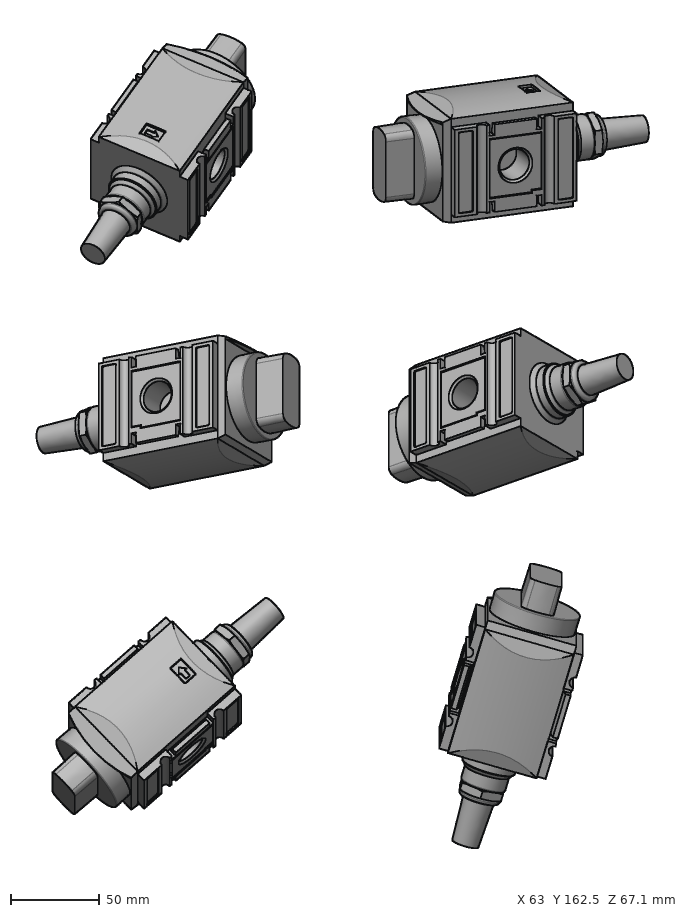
import cadquery as cq
import math

block_width = 52.4
block_half_height = 31.1
dome_half_height = 33.56
housing_length = 75.0
end_slope = math.radians(16)

overall_width = 63.0
pad_height = 52.3

half_width = block_width / 2
housing_end = housing_length / 2
pad_face = overall_width / 2
pad_top = pad_height / 2

groove_radius = 3.0
groove_offset = 20.8
panel_half_length = 13.0
notch_width = 3.0
notch_floor = 19.8
notch_outer = panel_half_length + notch_width
panel_thickness = 3.0
slot_floor_width = 0.85
label_depth = 1.0
label_height = 48.4
label_radius = 1.0
label_inner = 26.2
label_outer_rear = 35.0
label_outer_front = 35.45

port_radius = 9.1
port_mouth_radius = 10.5
port_depth = 20.0
seat_half_length = 15.9
seat_half_height = 17.85
seat_key_offset = 10.2
seat_key_height = 1.5
seat_step = 0.5
seat_step_depth = 0.25
seat_steps = 2
seat_depth = seat_steps * seat_step_depth

window_length = 12.4
window_width = 8.3
window_x = -0.2
window_y = -21.4
window_floor = 31.9
arrow_depth = 0.8
arrow_tail = -4.4
arrow_neck = 0.0
arrow_tip = 3.4
arrow_shaft_half_width = 1.5
arrow_head_half_width = 2.9

flare_base_radius = 18.1
flare_tip_radius = 16.0
flare_end = 2.4
collar_radius = 15.6
collar_start = 2.9
collar_end = 8.3
collar_bevel = 0.5
shoulder_base_radius = 14.9
shoulder_tip_radius = 13.5
shoulder_end = 10.2
neck_radius = 13.1
neck_start = 10.7
neck_end = 19.2
neck_bevel_length = 1.1
neck_bevel_height = 0.3
hex_across_flats = 24.2
hex_end = 24.4
hex_bevel = 0.5
ring_end = 27.6
ring_fillet = 2.2
spigot_base_radius = 9.1
spigot_tip_radius = 7.8
stem_length = 54.5

cap_thickness = 5.0
brim_reach = 4.4
brim_underside = 28.1
drum_base_radius = 25.15
drum_length = 10.7
drum_fillet = 0.5
handle_end = 70.5
handle_radius = 21.75
handle_width = 19.4
handle_corner = 4.3
draft = 1.0

cap_face = housing_end + cap_thickness
drum_end = cap_face + drum_length


def box(x_range, y_range, z_range):
    """Box given by its lower and upper limits on each axis."""
    limits = (x_range, y_range, z_range)
    sizes = [high - low for low, high in limits]
    corner = cq.Vector(*[low for low, high in limits])
    return cq.Workplane(cq.Solid.makeBox(*sizes, pnt=corner))


def rear_plane(y):
    """Plane facing +Y at the given position, with local Y along Z."""
    return cq.Workplane(cq.Plane(origin=(0, y, 0), xDir=(-1, 0, 0), normal=(0, 1, 0)))


def side_plane(x):
    """Plane facing -X at the given position: local X is -Y and local Y is Z."""
    return cq.Workplane(cq.Plane(origin=(x, 0, 0), xDir=(0, -1, 0), normal=(-1, 0, 0)))


def slope_height(y):
    """Height of the sloping end faces at a distance y from the middle."""
    return block_half_height - (y - housing_end) * math.tan(end_slope)


def make_domed_block():
    """Block with cylindrical top and bottom, cut by sloping planes at both ends."""
    domed = (
        rear_plane(-housing_end)
        .moveTo(-half_width, -block_half_height)
        .threePointArc((0, -dome_half_height), (half_width, -block_half_height))
        .lineTo(half_width, block_half_height)
        .threePointArc((0, dome_half_height), (-half_width, block_half_height))
        .close()
        .extrude(housing_length)
    )
    ridge = slope_height(0)
    envelope = (
        cq.Workplane("YZ")
        .polyline([
            (-housing_end, -block_half_height),
            (0, -ridge),
            (housing_end, -block_half_height),
            (housing_end, block_half_height),
            (0, ridge),
            (-housing_end, block_half_height),
        ])
        .close()
        .extrude(half_width, both=True)
    )
    return domed.intersect(envelope)


def seat_outline(inset):
    """Port seat outline with a key step at its lower front corner."""
    top = seat_half_height - inset
    bottom = -seat_half_height + inset
    return [
        (-seat_half_length, top),
        (seat_half_length, top),
        (seat_half_length, bottom + seat_key_height),
        (seat_key_offset - inset, bottom + seat_key_height),
        (seat_key_offset - inset, bottom),
        (-seat_half_length, bottom),
    ]


def panel_slot():
    """Upper slot between the block and the panel, whose back leans outwards."""
    return (
        cq.Workplane("XZ")
        .polyline([
            (-half_width, pad_top),
            (-half_width, notch_floor),
            (-half_width - slot_floor_width, notch_floor),
            (-pad_face + panel_thickness, pad_top),
        ])
        .close()
        .extrude(panel_half_length, both=True)
    )


def label_recess(y_low, y_high):
    """Shallow rounded recess for a label in the pad face."""
    return (
        side_plane(-pad_face)
        .center(-(y_low + y_high) / 2, 0)
        .rect(y_high - y_low, label_height)
        .extrude(-label_depth)
        .edges("|X")
        .fillet(label_radius)
    )


def make_pad():
    """Mounting pad on the -X side."""
    pad = box((-pad_face, -half_width), (-housing_end, housing_end), (-pad_top, pad_top))
    for side in (-1, 1):
        groove = (
            cq.Workplane("XY", origin=(0, 0, -pad_top))
            .center(-pad_face, side * groove_offset)
            .circle(groove_radius)
            .extrude(pad_height)
        )
        notch_y = sorted((side * panel_half_length, side * notch_outer))
        notch = box((-pad_face, -half_width), notch_y, (notch_floor, pad_top))
        pad = pad.cut(groove).cut(notch).cut(notch.mirror("XY"))
    slot = panel_slot()
    pad = pad.cut(slot).cut(slot.mirror("XY"))
    pad = pad.cut(label_recess(label_inner, label_outer_rear))
    pad = pad.cut(label_recess(-label_outer_front, -label_inner))
    for step in range(seat_steps):
        outline = seat_outline(step * seat_step)
        depth = (step + 1) * seat_step_depth
        pad = pad.cut(side_plane(-pad_face).polyline(outline).close().extrude(-depth))
    return pad


def make_port():
    """Blind port with a chamfered mouth, as a cutting tool on the -X side."""
    mouth_x = -pad_face + seat_depth
    mouth_depth = port_mouth_radius - port_radius
    return (
        cq.Workplane("XZ")
        .polyline([
            (mouth_x, 0),
            (mouth_x, port_mouth_radius),
            (mouth_x + mouth_depth, port_radius),
            (mouth_x + port_depth, port_radius),
            (mouth_x + port_depth, 0),
        ])
        .close()
        .revolve(360, (0, 0, 0), (1, 0, 0))
    )


def make_arrow_window():
    """Flat-bottomed window in the top face with an arrow sunk into its floor."""
    window = (
        cq.Workplane("XY", origin=(window_x, window_y, window_floor))
        .rect(window_length, window_width)
        .extrude(dome_half_height - window_floor)
    )
    arrow = (
        cq.Workplane("XY", origin=(0, window_y, window_floor))
        .polyline([
            (arrow_tail, -arrow_shaft_half_width),
            (arrow_neck, -arrow_shaft_half_width),
            (arrow_neck, -arrow_head_half_width),
            (arrow_tip, 0),
            (arrow_neck, arrow_head_half_width),
            (arrow_neck, arrow_shaft_half_width),
            (arrow_tail, arrow_shaft_half_width),
        ])
        .close()
        .extrude(-arrow_depth)
    )
    return window.union(arrow)


def make_hex():
    """Hexagon with corners up and down, its corners bevelled at both ends."""
    corner_radius = hex_across_flats / math.sqrt(3)
    rear = -housing_end - neck_end
    front = -housing_end - hex_end
    blank = (
        cq.Workplane("XZ", origin=(0, rear, 0))
        .polygon(6, 2 * corner_radius)
        .extrude(rear - front)
        .rotate((0, 0, 0), (0, 1, 0), 90)
    )
    bevelled_round = (
        cq.Workplane("XY")
        .polyline([
            (0, rear),
            (hex_across_flats / 2, rear),
            (corner_radius, rear - hex_bevel),
            (corner_radius, front + hex_bevel),
            (hex_across_flats / 2, front),
            (0, front),
        ])
        .close()
        .revolve(360, (0, 0, 0), (0, 1, 0))
    )
    return blank.intersect(bevelled_round)


def make_stem():
    """Stepped round stem with a hexagon and a tapered spigot."""
    ring_radius = hex_across_flats / 2
    fillet_mid = ring_fillet * (1 - math.sqrt(0.5))
    front = -housing_end
    turned = (
        cq.Workplane("XY")
        .moveTo(0, front)
        .lineTo(flare_base_radius, front)
        .lineTo(flare_tip_radius, front - flare_end)
        .lineTo(collar_radius, front - collar_start)
        .lineTo(collar_radius, front - collar_end + collar_bevel)
        .lineTo(collar_radius - collar_bevel, front - collar_end)
        .lineTo(shoulder_base_radius, front - collar_end)
        .lineTo(shoulder_tip_radius, front - shoulder_end)
        .lineTo(neck_radius, front - neck_start)
        .lineTo(neck_radius, front - neck_end + neck_bevel_length)
        .lineTo(neck_radius - neck_bevel_height, front - neck_end)
        .lineTo(ring_radius, front - neck_end)
        .lineTo(ring_radius, front - ring_end + ring_fillet)
        .threePointArc(
            (ring_radius - fillet_mid, front - ring_end + fillet_mid),
            (ring_radius - ring_fillet, front - ring_end),
        )
        .lineTo(spigot_base_radius, front - ring_end)
        .lineTo(spigot_tip_radius, front - stem_length)
        .lineTo(0, front - stem_length)
        .close()
        .revolve(360, (0, 0, 0), (0, 1, 0))
    )
    return turned.union(make_hex())


def make_housing():
    """Domed block with two pads, two ports, the flow arrow and the stem."""
    pad = make_pad()
    port = make_port()
    body = make_domed_block().union(pad).union(pad.mirror("YZ"))
    body = body.cut(port).cut(port.mirror("YZ"))
    return body.cut(make_arrow_window()).union(make_stem())


def make_cap_plate():
    """Plate with sloping top and bottom, its top carried out into a curved brim."""
    brim_tip = cap_face + brim_reach
    wedge = (
        cq.Workplane("YZ")
        .polyline([
            (housing_end, -block_half_height),
            (cap_face, -slope_height(cap_face)),
            (cap_face, brim_underside),
            (brim_tip, brim_underside),
            (brim_tip, slope_height(brim_tip)),
            (housing_end, block_half_height),
        ])
        .close()
        .extrude(half_width, both=True)
    )
    brim_plan = (
        cq.Workplane("XY", origin=(0, 0, -block_half_height))
        .moveTo(-half_width, housing_end)
        .lineTo(-half_width, cap_face)
        .threePointArc((0, brim_tip), (half_width, cap_face))
        .lineTo(half_width, housing_end)
        .close()
        .extrude(2 * block_half_height)
    )
    return wedge.intersect(brim_plan)


def make_cap():
    """Cap plate with a round drum and a flat-sided, drafted turning handle."""
    drum = (
        rear_plane(cap_face)
        .circle(drum_base_radius)
        .extrude(drum_length, taper=-draft)
        .faces(">Y")
        .edges()
        .fillet(drum_fillet)
    )
    strip_length = 3 * handle_radius
    handle_outline = (
        cq.Sketch()
        .circle(handle_radius)
        .rect(handle_width, strip_length, mode="i")
        .reset()
        .vertices()
        .fillet(handle_corner)
    )
    handle = (
        rear_plane(drum_end)
        .placeSketch(handle_outline)
        .extrude(handle_end - drum_end, taper=draft)
    )
    return make_cap_plate().union(drum).union(handle)


housing = make_housing()
cap = make_cap()

result = cq.Compound.makeCompound([housing.val(), cap.val()])